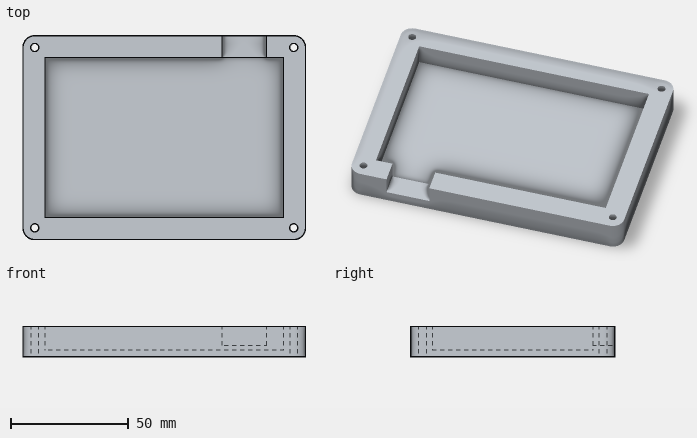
import cadquery as cq

length = 120.0
width = 86.6
height = 13.0
corner_radius = 5.0

wall = 9.4
floor_thickness = 3.0
pocket_depth = height - floor_thickness

notch_width = 18.8
notch_depth = 8.0
notch_center_x = 34.0

hole_diameter = 3.4
hole_spacing_x = length - 2 * corner_radius
hole_spacing_y = width - 2 * corner_radius


def make_body():
    """Plain block with rounded vertical corners, resting on Z = 0."""
    block = cq.Workplane("XY").box(length, width, height, centered=(True, True, False))
    return block.edges("|Z").fillet(corner_radius)


def cut_pocket(body):
    """Sink the sharp-cornered pocket from the top face."""
    return (
        body.faces(">Z")
        .workplane(origin=(0, 0, height))
        .rect(length - 2 * wall, width - 2 * wall)
        .cutBlind(-pocket_depth)
    )


def cut_notch(body):
    """Open the back wall from the pocket to the outside."""
    notch = (
        cq.Workplane("XY", origin=(notch_center_x, (width - wall) / 2, height - notch_depth))
        .box(notch_width, wall, notch_depth, centered=(True, True, False))
    )
    return body.cut(notch)


def drill_screw_holes(body):
    """Drill one through hole at each corner."""
    return (
        body.faces(">Z")
        .workplane(origin=(0, 0, height))
        .rect(hole_spacing_x, hole_spacing_y, forConstruction=True)
        .vertices()
        .hole(hole_diameter)
    )


result = drill_screw_holes(cut_notch(cut_pocket(make_body())))